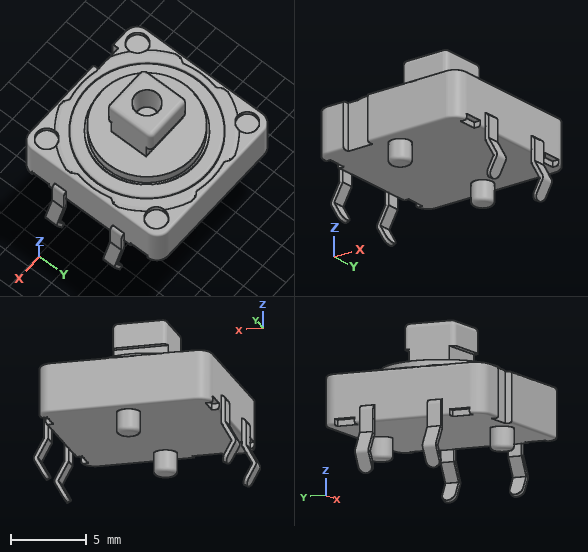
import cadquery as cq
import math

BODY_SIDE = 12.0
BODY_HALF = BODY_SIDE / 2
BODY_HEIGHT = 3.5
BODY_CORNER_RADIUS = 1.0
BODY_EDGE_RADIUS = 0.2

PLATEAU_RISE = 0.1
PLATEAU_TOP = BODY_HEIGHT + PLATEAU_RISE
PLATEAU_EDGE_RADIUS = 0.4
PLATEAU_DEPTH = 0.63
PLATEAU_OUTER_RADIUS = 6.3
PLATEAU_INNER_RADIUS = 5.81
PLATEAU_HALF = 5.87
TAB_START = 1.76
INNER_ARC_HALF_WIDTH = 1.43
DIP_RADIUS = 0.14

GROOVE_INNER_EDGE = 4.97
GROOVE_OUTER_EDGE = 5.29
GROOVE_INNER_ROUND = 0.2
GROOVE_OUTER_ROUND = 0.1

FLANGE_RADIUS = 3.98
FLANGE_TOP = 4.3
CLEARANCE_RADIUS = 4.17
CLEARANCE_DEPTH = 0.1

STEM_SIDE = 3.81
STEM_TOP = 7.3
CAP_BOTTOM = 5.52
NECK_WIDTH = 3.0
CAP_EDGE_RADIUS = 0.35
STEM_HOLE_TOP_RADIUS = 1.0
STEM_HOLE_BOTTOM_RADIUS = 0.8
STEM_HOLE_DEPTH = 2.0

RECESS_OFFSET = 4.75
RECESS_RADIUS = 0.81
RECESS_DEPTH = 0.3
PEG_OFFSET = 4.5
PEG_RADIUS = 0.8
PEG_LENGTH = 1.5
PEG_EDGE_RADIUS = 0.3
KEY_LEFT = -3.63
KEY_WIDTH = 2.05
KEY_DEPTH = 0.5
FOOT_NOTCH_INNER = 3.53
FOOT_NOTCH_OUTER = BODY_HALF - BODY_CORNER_RADIUS
FOOT_NOTCH_HEIGHT = 0.42
FOOT_NOTCH_DEPTH = 0.5

LEG_SPACING_HALF = 2.5
LEG_WIDTH = 1.0
LEG_THICKNESS = 0.3
LEG_TOP = 1.15
LEG_BEND_RADIUS = 0.35
LEG_BEND = -0.71
LEG_SLOPE = math.radians(61)
LEG_REACH = 7.0
LEG_BOTTOM = -3.5
LEG_TIP_RADIUS = 0.49


def box(x_range, y_range, z_range):
    """Axis-aligned box given by its limits along each axis."""
    sizes = [high - low for low, high in (x_range, y_range, z_range)]
    corner = (x_range[0], y_range[0], z_range[0])
    return cq.Workplane("XY").box(*sizes, centered=False).translate(corner)


def cylinder(radius, bottom, top):
    return cq.Workplane("XY").workplane(offset=bottom).circle(radius).extrude(top - bottom)


def on_side(shape, side_x, side_y):
    """Mirror a shape from the +X, +Y quadrant to the quadrant with the given signs."""
    if side_x < 0:
        shape = shape.mirror("YZ")
    if side_y < 0:
        shape = shape.mirror("XZ")
    return shape


def make_body():
    body = cq.Workplane("XY").rect(BODY_SIDE, BODY_SIDE).extrude(BODY_HEIGHT)
    body = body.edges("|Z").fillet(BODY_CORNER_RADIUS)
    return body.faces("<Z or >Z").edges().fillet(BODY_EDGE_RADIUS)


def turned(point, quarter):
    """Point turned about the Z axis by a number of quarter turns."""
    x, y = point
    for _ in range(quarter):
        x, y = -y, x
    return (x, y)


def make_plateau():
    arc_y = math.sqrt(PLATEAU_INNER_RADIUS**2 - INNER_ARC_HALF_WIDTH**2)
    tab_end = math.sqrt(PLATEAU_OUTER_RADIUS**2 - PLATEAU_HALF**2)
    diagonal = PLATEAU_OUTER_RADIUS / math.sqrt(2)

    outline = cq.Workplane("XY").workplane(offset=PLATEAU_TOP).moveTo(tab_end, PLATEAU_HALF)
    for quarter in range(4):
        outline = (
            outline
            .lineTo(*turned((TAB_START, PLATEAU_HALF), quarter))
            .lineTo(*turned((INNER_ARC_HALF_WIDTH, arc_y), quarter))
            .threePointArc(
                turned((0, PLATEAU_INNER_RADIUS), quarter),
                turned((-INNER_ARC_HALF_WIDTH, arc_y), quarter),
            )
            .lineTo(*turned((-TAB_START, PLATEAU_HALF), quarter))
            .lineTo(*turned((-tab_end, PLATEAU_HALF), quarter))
            .threePointArc(
                turned((-diagonal, diagonal), quarter),
                turned((-PLATEAU_HALF, tab_end), quarter),
            )
        )
    plateau = outline.close().extrude(-PLATEAU_DEPTH)
    for quarter in range(4):
        for side in (-1, 1):
            dip = turned((side * INNER_ARC_HALF_WIDTH, arc_y), quarter)
            dip_edge = cq.selectors.NearestToPointSelector((*dip, PLATEAU_TOP - PLATEAU_DEPTH / 2))
            plateau = plateau.edges(dip_edge).fillet(DIP_RADIUS)
    return plateau.faces(">Z").edges().fillet(PLATEAU_EDGE_RADIUS)


def make_ring_groove():
    """Ring cutter whose two rims are rounded over."""
    inner_wall = GROOVE_INNER_EDGE + GROOVE_INNER_ROUND
    outer_wall = GROOVE_OUTER_EDGE - GROOVE_OUTER_ROUND
    bend = math.sqrt(0.5)
    floor = PLATEAU_TOP - GROOVE_INNER_ROUND
    return (
        cq.Workplane("XZ")
        .moveTo(GROOVE_INNER_EDGE, PLATEAU_TOP)
        .threePointArc(
            (GROOVE_INNER_EDGE + GROOVE_INNER_ROUND * bend, floor + GROOVE_INNER_ROUND * bend),
            (inner_wall, floor),
        )
        .lineTo(outer_wall, floor)
        .lineTo(outer_wall, PLATEAU_TOP - GROOVE_OUTER_ROUND)
        .threePointArc(
            (
                GROOVE_OUTER_EDGE - GROOVE_OUTER_ROUND * bend,
                PLATEAU_TOP - GROOVE_OUTER_ROUND * (1 - bend),
            ),
            (GROOVE_OUTER_EDGE, PLATEAU_TOP),
        )
        .close()
        .revolve(360, (0, 0, 0), (0, 1, 0))
    )


def make_stem():
    half = STEM_SIDE / 2
    cap = box((-half, half), (-half, half), (CAP_BOTTOM, STEM_TOP))
    cap = cap.edges("|Z or >Z").fillet(CAP_EDGE_RADIUS)
    neck_half = NECK_WIDTH / 2
    neck = box((-half, half), (-neck_half, neck_half), (FLANGE_TOP, STEM_TOP - CAP_EDGE_RADIUS))
    return cap.union(neck)


def make_stem_hole():
    return (
        cq.Workplane("XY").workplane(offset=STEM_TOP - STEM_HOLE_DEPTH)
        .circle(STEM_HOLE_BOTTOM_RADIUS)
        .workplane(offset=STEM_HOLE_DEPTH)
        .circle(STEM_HOLE_TOP_RADIUS)
        .loft()
    )


def make_leg():
    """Terminal on the +X side whose bent top end enters the housing wall."""
    outer_x = BODY_HALF + LEG_THICKNESS
    root_x = outer_x - LEG_BEND_RADIUS
    lean = math.pi / 2 - LEG_SLOPE
    knee_x = LEG_REACH + LEG_BEND_RADIUS * (1 / math.cos(lean) - 1)
    knee_z = LEG_BEND - (knee_x - outer_x) * math.tan(LEG_SLOPE)
    tip_drop = knee_z - LEG_BOTTOM
    tip_x = knee_x - tip_drop / math.tan(LEG_SLOPE)

    bend_drop = LEG_THICKNESS * math.tan(lean / 2)
    knee_inset = LEG_THICKNESS / math.sin(LEG_SLOPE)
    tip_inner = (
        tip_x - LEG_THICKNESS * math.sin(LEG_SLOPE),
        LEG_BOTTOM + LEG_THICKNESS * math.cos(LEG_SLOPE),
    )
    strip = (
        cq.Workplane("XZ").workplane(offset=-LEG_WIDTH / 2)
        .polyline([
            (outer_x, LEG_TOP - LEG_BEND_RADIUS),
            (outer_x, LEG_BEND),
            (knee_x, knee_z),
            (tip_x, LEG_BOTTOM),
            tip_inner,
            (knee_x - knee_inset, knee_z),
            (BODY_HALF, LEG_BEND - bend_drop),
            (BODY_HALF, BODY_EDGE_RADIUS),
            (root_x, BODY_EDGE_RADIUS),
            (root_x, LEG_TOP),
        ])
        .radiusArc((outer_x, LEG_TOP - LEG_BEND_RADIUS), LEG_BEND_RADIUS)
        .close()
        .extrude(LEG_WIDTH)
    )
    strip = strip.edges(cq.selectors.NearestToPointSelector((knee_x, 0, knee_z))).fillet(LEG_BEND_RADIUS)
    across_tip = cq.Vector(math.sin(LEG_SLOPE), 0, -math.cos(LEG_SLOPE))
    strip = strip.edges(cq.selectors.ParallelDirSelector(across_tip)).fillet(LEG_TIP_RADIUS)
    return strip.translate((0, LEG_SPACING_HALF, 0))


def make_corner_recess():
    recess = cylinder(RECESS_RADIUS, BODY_HEIGHT - RECESS_DEPTH, PLATEAU_TOP)
    return recess.translate((RECESS_OFFSET, RECESS_OFFSET, 0))


def make_foot_notch():
    return box(
        (BODY_HALF - FOOT_NOTCH_DEPTH, BODY_HALF),
        (FOOT_NOTCH_INNER, FOOT_NOTCH_OUTER),
        (0, FOOT_NOTCH_HEIGHT),
    )


def make_key_slot():
    """Full-height slot in the -Y side."""
    return box(
        (KEY_LEFT, KEY_LEFT + KEY_WIDTH),
        (-BODY_HALF, -BODY_HALF + KEY_DEPTH),
        (0, PLATEAU_TOP),
    )


def make_peg():
    peg = cylinder(PEG_RADIUS, -PEG_LENGTH, 0)
    peg = peg.faces("<Z").edges().fillet(PEG_EDGE_RADIUS)
    return peg.translate((0, PEG_OFFSET, 0))


def make_part():
    part = make_body().union(make_plateau())
    part = part.cut(make_ring_groove())

    clearance_floor = PLATEAU_TOP - CLEARANCE_DEPTH
    part = part.cut(cylinder(CLEARANCE_RADIUS, clearance_floor, PLATEAU_TOP))
    part = part.union(cylinder(FLANGE_RADIUS, clearance_floor, FLANGE_TOP))
    part = part.union(make_stem()).cut(make_stem_hole())

    recess = make_corner_recess()
    notch = make_foot_notch()
    leg = make_leg()
    peg = make_peg()
    for side_y in (-1, 1):
        for side_x in (-1, 1):
            part = part.cut(on_side(recess, side_x, side_y))
            part = part.cut(on_side(notch, side_x, side_y))
            part = part.union(on_side(leg, side_x, side_y))
        part = part.union(on_side(peg, 1, side_y))

    return part.cut(make_key_slot())


result = make_part()